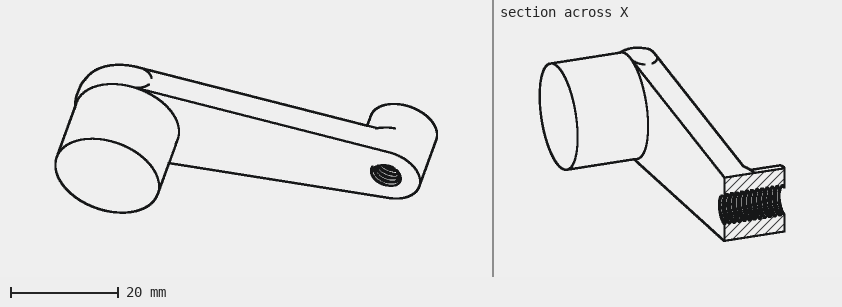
import cadquery as cq

hub_diameter = 20.0
hub_length = 14.0
bulge_radius = 10.5
boss_diameter = 13.0
boss_length = 12.0
overall_length = 66.95
arm_thickness = 4.95
foot_height = 1.0
foot_spread = 0.9
thread_major_diameter = 6.0
thread_minor_diameter = 5.0
thread_pitch = 1.0
groove_mouth = 0.9
groove_root = 0.2
groove_overlap = 0.1

hub_radius = hub_diameter / 2
boss_radius = boss_diameter / 2
boss_x = overall_length - bulge_radius - boss_radius
foot_top = arm_thickness + foot_height


def cylinder_along_y(radius, x, y_start, y_end):
    """Solid cylinder with its axis parallel to Y, at z = 0."""
    plane = cq.Workplane("XZ", origin=(x, y_start, 0))
    return plane.circle(radius).extrude(y_start - y_end)


def arm_prism(height):
    """Tapered arm outline with a round tip, extruded from y = 0 towards +Y."""
    return (
        cq.Workplane("XZ")
        .moveTo(0, hub_radius)
        .lineTo(boss_x, boss_radius)
        .threePointArc((boss_x + boss_radius, 0), (boss_x, -boss_radius))
        .lineTo(0, -hub_radius)
        .close()
        .extrude(-height)
    )


def hub_bulge():
    """Barrel-shaped end of the arm around the hub axis."""
    return (
        cq.Workplane("XY")
        .lineTo(hub_radius, 0)
        .threePointArc((bulge_radius, arm_thickness / 2), (hub_radius, arm_thickness))
        .lineTo(0, arm_thickness)
        .close()
        .revolve(360, (0, 0, 0), (0, 1, 0))
    )


def boss_foot():
    """Conical foot of the boss, trimmed flush with the sides of the arm."""
    cone = (
        cq.Workplane("XY", origin=(boss_x, 0, 0))
        .moveTo(0, arm_thickness)
        .lineTo(boss_radius + foot_spread, arm_thickness)
        .lineTo(boss_radius, foot_top)
        .lineTo(0, foot_top)
        .close()
        .revolve(360, (0, 0, 0), (0, 1, 0))
    )
    return cone.intersect(arm_prism(foot_top))


def thread_groove():
    """Helical groove that runs one pitch past both ends of the threaded hole."""
    minor_radius = thread_minor_diameter / 2
    major_radius = thread_major_diameter / 2
    helix = cq.Wire.makeHelix(thread_pitch, boss_length + 2 * thread_pitch, minor_radius)
    groove = (
        cq.Workplane("XZ")
        .moveTo(minor_radius - groove_overlap, -groove_mouth / 2)
        .lineTo(major_radius, -groove_root / 2)
        .lineTo(major_radius, groove_root / 2)
        .lineTo(minor_radius - groove_overlap, groove_mouth / 2)
        .close()
        .sweep(cq.Workplane(helix), isFrenet=True)
    )
    return (
        groove.rotate((0, 0, 0), (0, 0, 1), 90)
        .rotate((0, 0, 0), (1, 0, 0), -90)
        .translate((boss_x, -thread_pitch, 0))
    )


hub = cylinder_along_y(hub_radius, 0, -hub_length, 0)
boss = cylinder_along_y(boss_radius, boss_x, 0, boss_length)
hole = cylinder_along_y(thread_minor_diameter / 2, boss_x, 0, boss_length)

body = arm_prism(arm_thickness).union(hub_bulge()).union(hub).union(boss).union(boss_foot())
result = body.cut(hole).cut(thread_groove())